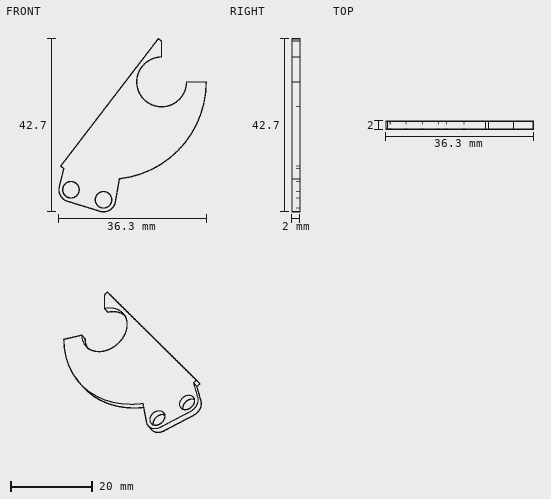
import cadquery as cq
import math

thickness = 2.0
notch_radius = 6.1

outer_radius = 24.0
outer_right_x = 11.0
outer_center = (outer_right_x - outer_radius, 0)
outer_end_x = -10.35

strip_top = (-0.8, 10.65)
strip_bottom = (-24.85, -20.73)
strip_step = 1.0

hole_diameter = 4.0
lobe_radius = 3.0
left_hole = (-22.3, -26.53)
right_hole = (-14.3, -29.0)


def on_circle(center, radius, angle):
    """Point on a circle at an angle in radians."""
    return (center[0] + radius * math.cos(angle), center[1] + radius * math.sin(angle))


def tangent_angle(point, center, radius, side):
    """Angle on the circle where a line from an outside point touches it (side is +1 or -1)."""
    dx = point[0] - center[0]
    dz = point[1] - center[1]
    return math.atan2(dz, dx) + side * math.acos(radius / math.hypot(dx, dz))


strip_angle = math.atan2(strip_top[1] - strip_bottom[1], strip_top[0] - strip_bottom[0])
step_angle = strip_angle - math.pi / 2
strip_bottom_inner = on_circle(strip_bottom, strip_step, step_angle)
strip_top_inner = (0, strip_top[1] + strip_top[0] / math.tan(strip_angle))

outer_end_angle = -math.acos((outer_end_x - outer_center[0]) / outer_radius)
outer_end = on_circle(outer_center, outer_radius, outer_end_angle)
outer_middle = on_circle(outer_center, outer_radius, outer_end_angle / 2)

bottom_angle = math.atan2(right_hole[1] - left_hole[1], right_hole[0] - left_hole[0]) - math.pi / 2
right_angle = tangent_angle(outer_end, right_hole, lobe_radius, -1)
left_angle = tangent_angle(strip_bottom_inner, left_hole, lobe_radius, 1) - 2 * math.pi

notch_middle = on_circle((0, 0), notch_radius, -3 * math.pi / 4)

outline = (
    cq.Workplane("XZ")
    .moveTo(*strip_top)
    .lineTo(*strip_top_inner)
    .lineTo(0, notch_radius)
    .threePointArc(notch_middle, (notch_radius, 0))
    .lineTo(outer_right_x, 0)
    .threePointArc(outer_middle, outer_end)
    .lineTo(*on_circle(right_hole, lobe_radius, right_angle))
    .threePointArc(
        on_circle(right_hole, lobe_radius, (right_angle + bottom_angle) / 2),
        on_circle(right_hole, lobe_radius, bottom_angle),
    )
    .lineTo(*on_circle(left_hole, lobe_radius, bottom_angle))
    .threePointArc(
        on_circle(left_hole, lobe_radius, (left_angle + bottom_angle) / 2),
        on_circle(left_hole, lobe_radius, left_angle),
    )
    .lineTo(*strip_bottom_inner)
    .lineTo(*strip_bottom)
    .close()
)
plate = outline.extrude(thickness)

holes = (
    cq.Workplane("XZ")
    .pushPoints([left_hole, right_hole])
    .circle(hole_diameter / 2)
    .extrude(thickness)
)

result = plate.cut(holes)